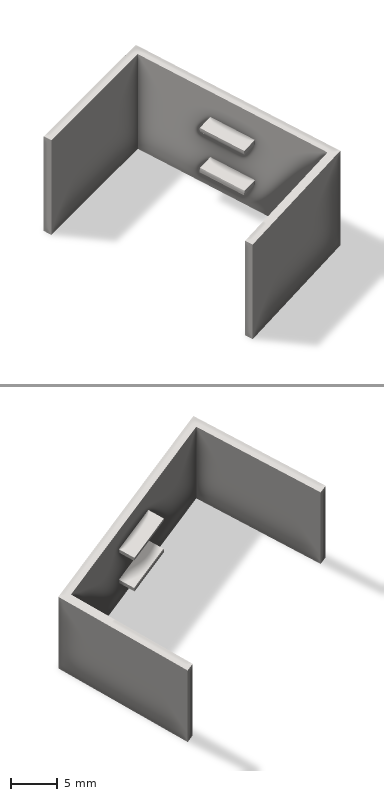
import cadquery as cq
import math

mouth_width = 27.69
depth = 16.8
height = 15.0
wall_thickness = 1.0
splay_angle = 1.0

rib_length = 5.9
rib_projection = 2.0
rib_thickness = 0.67
rib_outer_span = 7.04
rib_flat_width = 0.3
rib_nose_radius = 1.25

back_y = depth / 2
tip_y = -depth / 2
web_face_y = back_y - wall_thickness
splay_slope = math.tan(math.radians(splay_angle))
leg_width_x = wall_thickness / math.cos(math.radians(splay_angle))


def outer_half_width(y):
    """Distance from mid width to the outer side of a leg at the given y."""
    return mouth_width / 2 - (y - tip_y) * splay_slope


def inner_half_width(y):
    """Distance from mid width to the inner side of a leg at the given y."""
    return outer_half_width(y) - leg_width_x


def make_channel():
    """U-shaped section extruded over the full height."""
    right_side = [
        (outer_half_width(back_y), back_y),
        (outer_half_width(tip_y), tip_y),
        (inner_half_width(tip_y), tip_y),
        (inner_half_width(web_face_y), web_face_y),
    ]
    left_side = [(-x, y) for x, y in reversed(right_side)]
    return (
        cq.Workplane("XY")
        .polyline(right_side + left_side)
        .close()
        .extrude(height / 2, both=True)
    )


def make_upper_rib():
    """Flat rib rooted in the web, its front face curving back towards mid height."""
    root_y = back_y - wall_thickness / 2
    front_y = web_face_y - rib_projection
    outer_z = rib_outer_span / 2
    inner_z = outer_z - rib_thickness
    nose_height = rib_thickness - rib_flat_width
    nose_setback = rib_nose_radius - math.sqrt(rib_nose_radius**2 - nose_height**2)
    return (
        cq.Workplane("YZ")
        .moveTo(root_y, outer_z)
        .lineTo(front_y, outer_z)
        .lineTo(front_y, inner_z + nose_height)
        .radiusArc((front_y + nose_setback, inner_z), -rib_nose_radius)
        .lineTo(root_y, inner_z)
        .close()
        .extrude(rib_length / 2, both=True)
    )


upper_rib = make_upper_rib()
lower_rib = upper_rib.mirror("XY")
result = make_channel().union(upper_rib).union(lower_rib)